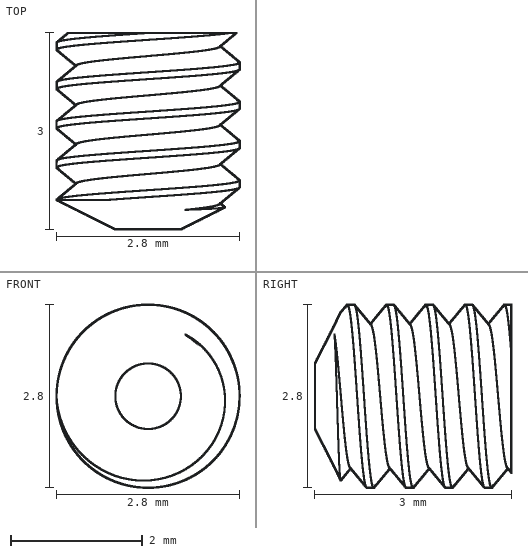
import cadquery as cq

length = 3.0
outer_diameter = 2.8
outer_radius = outer_diameter / 2
tip_radius = 0.5
tip_length = 0.45

pitch = 0.6
crest_width = 0.105
thread_depth = 0.3
root_radius = outer_radius - thread_depth
half_groove = (pitch - crest_width) / 2

radial_overcut = 0.03
cutter_radius = outer_radius + radial_overcut
half_cutter = half_groove * (thread_depth + radial_overcut) / thread_depth
extra_turns = 2
turns = length / pitch + extra_turns
rod_margin = pitch

groove_end = length + half_groove
groove_start = groove_end - turns * pitch


def make_blank():
    """Cylinder with a truncated cone tip, turned about the Y axis."""
    outline = [
        (0, 0),
        (tip_radius, 0),
        (outer_radius, tip_length),
        (outer_radius, length),
        (0, length),
    ]
    return cq.Workplane("XY").polyline(outline).close().revolve(360, (0, 0), (0, 1))


def make_groove():
    """V-shaped groove swept along a helix about Y, starting on the +Z side."""
    helix = cq.Wire.makeHelix(pitch, turns * pitch, root_radius)
    profile = [
        (root_radius, 0),
        (cutter_radius, half_cutter),
        (cutter_radius, -half_cutter),
    ]
    groove = (
        cq.Workplane("XZ")
        .polyline(profile)
        .close()
        .sweep(cq.Workplane(helix), isFrenet=True)
    )
    groove = groove.rotate((0, 0, 0), (1, 0, 0), -90)
    groove = groove.rotate((0, 0, 0), (0, 1, 0), -90)
    return groove.translate((0, groove_start, 0))


def make_threaded_rod():
    """Rod longer than the screw, holding the whole length of the groove."""
    rod_start = groove_start - rod_margin
    rod_length = turns * pitch + 2 * rod_margin
    rod = cq.Workplane("XZ", origin=(0, rod_start, 0)).circle(outer_radius).extrude(-rod_length)
    return rod.cut(make_groove())


result = make_threaded_rod().intersect(make_blank())